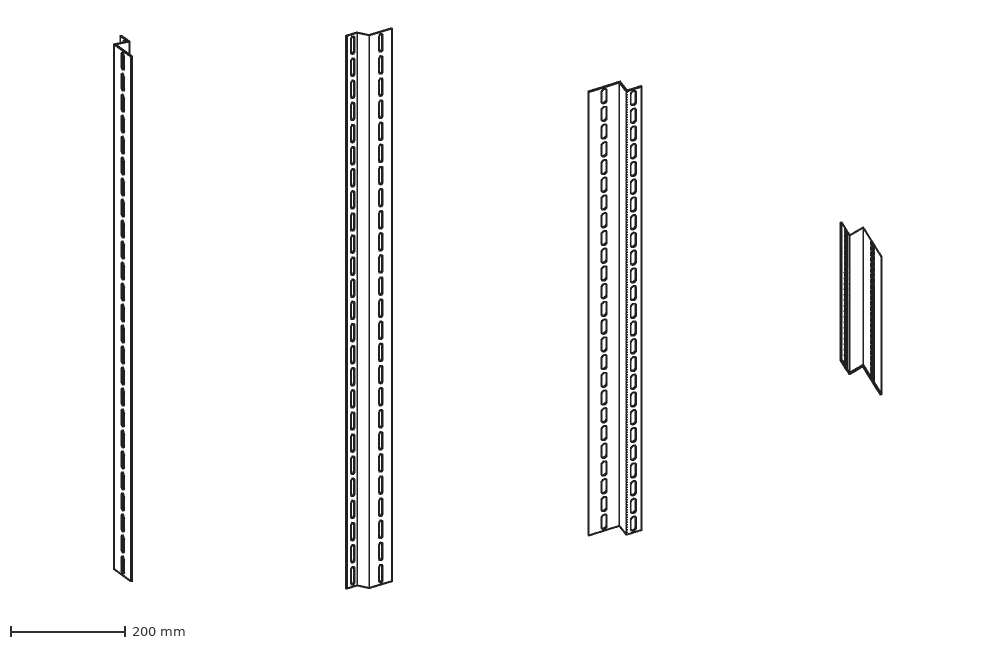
import cadquery as cq

length = 1000.0
depth = 30.0
thickness = 2.5
back_flange = 30.0
front_flange = 62.0
web_left = back_flange - thickness
width = web_left + front_flange

slot_count = 25
slot_pitch = length / slot_count
slot_length = 32.0
slot_width = 10.0
back_slot_x = 16.0
front_slot_edge_distance = 30.0
front_slot_x = width - front_slot_edge_distance


def make_rail():
    """Z section in the XY plane, extruded over the full length."""
    section = [
        (web_left, 0),
        (width, 0),
        (width, thickness),
        (back_flange, thickness),
        (back_flange, depth),
        (0, depth),
        (0, depth - thickness),
        (web_left, depth - thickness),
    ]
    return cq.Workplane("XY").polyline(section).close().extrude(length)


def make_slot_row(center_x):
    """Evenly pitched upright slots, spanning the full depth of the rail."""
    centers = [(center_x, (i + 0.5) * slot_pitch) for i in range(slot_count)]
    upright = 90
    return (
        cq.Workplane("XZ")
        .pushPoints(centers)
        .slot2D(slot_length, slot_width, upright)
        .extrude(-depth)
    )


rail = make_rail()
for row_x in (back_slot_x, front_slot_x):
    rail = rail.cut(make_slot_row(row_x))
result = rail